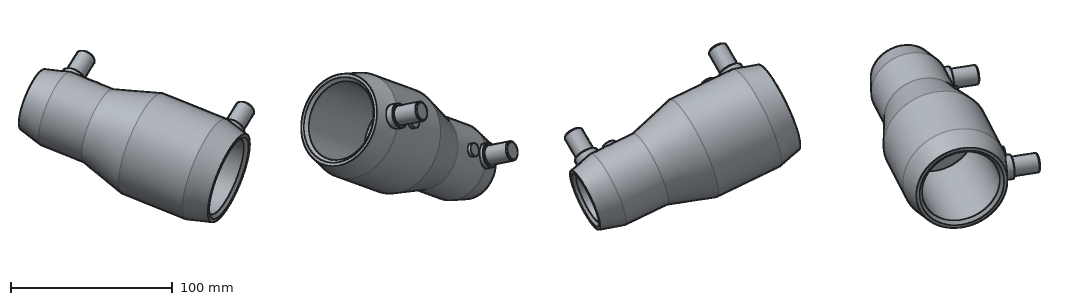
import cadquery as cq

length = 135.0
taper_length = 15.7
small_barrel_end = 45.2
large_barrel_start = 75.3
small_radius = 24.5
large_radius = 33.5
end_taper = 4.2

small_socket_radius = 15.9
wall = small_radius - small_socket_radius
large_socket_radius = large_radius - wall
passage_radius = 13.0
mouth_chamfer = 2.2

terminal_inset = 14.7
pin_radius = 6.2
pin_height = 16.9
pin_chamfer = 0.8
collar_radius = 7.8
collar_rise = 2.7
collar_chamfer = 0.4

indicator_spacing = 15.9
indicator_radius = 4.2
indicator_rise = 2.3


def make_body():
    return (
        cq.Workplane("XY")
        .moveTo(0, 0)
        .lineTo(0, small_radius - end_taper)
        .lineTo(taper_length, small_radius)
        .lineTo(small_barrel_end, small_radius)
        .lineTo(large_barrel_start, large_radius)
        .lineTo(length - taper_length, large_radius)
        .lineTo(length, large_radius - end_taper)
        .lineTo(length, 0)
        .close()
        .revolve(360, (0, 0, 0), (1, 0, 0))
    )


def make_bore():
    return (
        cq.Workplane("XY")
        .moveTo(0, 0)
        .lineTo(0, small_socket_radius + mouth_chamfer)
        .lineTo(mouth_chamfer, small_socket_radius)
        .lineTo(small_barrel_end, small_socket_radius)
        .lineTo(small_barrel_end, passage_radius)
        .lineTo(large_barrel_start, passage_radius)
        .lineTo(large_barrel_start, large_socket_radius)
        .lineTo(length - mouth_chamfer, large_socket_radius)
        .lineTo(length, large_socket_radius + mouth_chamfer)
        .lineTo(length, 0)
        .close()
        .revolve(360, (0, 0, 0), (1, 0, 0))
    )


def radial_post(x, radius, top):
    """Cylinder along +Y from the coupler axis up to y = top."""
    axis_plane = cq.Plane(origin=(x, 0, 0), xDir=(1, 0, 0), normal=(0, 1, 0))
    return cq.Workplane(axis_plane).circle(radius).extrude(top)


def make_terminal(x, barrel_radius):
    collar_top = barrel_radius + collar_rise
    collar = radial_post(x, collar_radius, collar_top).faces(">Y").chamfer(collar_chamfer)
    pin = radial_post(x, pin_radius, collar_top + pin_height).faces(">Y").chamfer(pin_chamfer)
    return collar.union(pin)


fittings = (
    (terminal_inset, indicator_spacing, small_radius),
    (length - terminal_inset, -indicator_spacing, large_radius),
)

result = make_body()
for terminal_x, indicator_offset, barrel_radius in fittings:
    indicator_x = terminal_x + indicator_offset
    result = result.union(make_terminal(terminal_x, barrel_radius))
    result = result.union(radial_post(indicator_x, indicator_radius, barrel_radius + indicator_rise))

result = result.cut(make_bore())